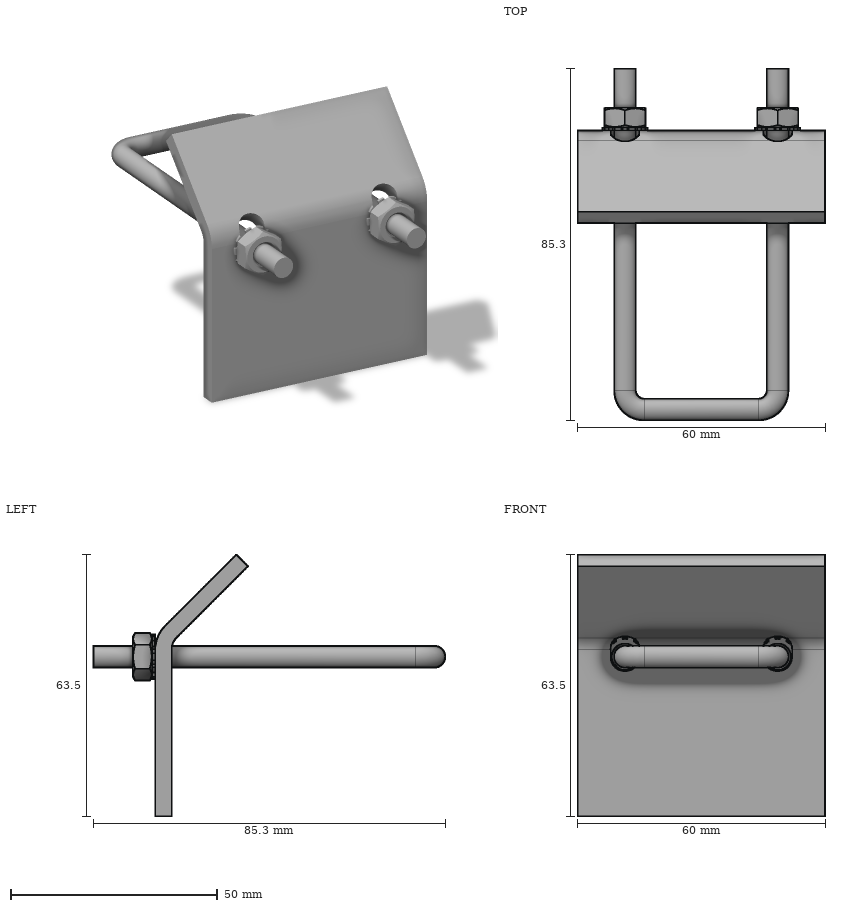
import cadquery as cq
import math

plate_width = 60.0
plate_thickness = 4.0
overall_height = 63.46
flange_length = 24.5
bend_angle = 45.0
bend_inner_radius = 4.0

rod_diameter = 5.3
leg_spacing = 37.0
leg_height = 38.7
leg_back_end = 15.0
crossbar_reach = 65.0
rod_bend_inner_radius = 2.0

slot_width = 7.0
slot_past_bend = 0.45

nut_across_flats = 10.0
nut_height = 4.8
nut_face_diameter = 9.4
nut_chamfer_angle = 30.0
nut_countersink_diameter = 6.4
washer_bore = 6.4
washer_diameter = 11.0
washer_root_diameter = 8.6
washer_thickness = 0.7
tooth_count = 10
tooth_width = 1.7

bend_outer_radius = bend_inner_radius + plate_thickness
bend_rad = math.radians(bend_angle)
flange_dy = -math.sin(bend_rad)
flange_dz = math.cos(bend_rad)
upright_height = overall_height - bend_outer_radius * math.sin(bend_rad) - flange_length * flange_dz
bend_center_y = -bend_outer_radius
slot_radius = slot_width / 2
leg_positions = (-leg_spacing / 2, leg_spacing / 2)


def bend_point(radius, angle):
    """(Y, Z) point on the bend, at an angle in radians above the upright."""
    return (bend_center_y + radius * math.cos(angle), upright_height + radius * math.sin(angle))


def flange_end(radius):
    """(Y, Z) corner at the free end of the flange."""
    y, z = bend_point(radius, bend_rad)
    return (y + flange_length * flange_dy, z + flange_length * flange_dz)


def make_plate():
    profile = (
        cq.Workplane("YZ", origin=(-plate_width / 2, 0, 0))
        .moveTo(0, 0)
        .lineTo(0, upright_height)
        .threePointArc(bend_point(bend_outer_radius, bend_rad / 2), bend_point(bend_outer_radius, bend_rad))
        .lineTo(*flange_end(bend_outer_radius))
        .lineTo(*flange_end(bend_inner_radius))
        .lineTo(*bend_point(bend_inner_radius, bend_rad))
        .threePointArc(bend_point(bend_inner_radius, bend_rad / 2), bend_point(bend_inner_radius, 0))
        .lineTo(-plate_thickness, 0)
        .close()
    )
    return profile.extrude(plate_width)


def upright_slot_cutter(x):
    """Round-bottomed part of a slot, cut straight through the upright."""
    return (
        cq.Workplane("XZ")
        .moveTo(x - slot_radius, upright_height)
        .lineTo(x - slot_radius, leg_height)
        .threePointArc((x, leg_height - slot_radius), (x + slot_radius, leg_height))
        .lineTo(x + slot_radius, upright_height)
        .close()
        .extrude(plate_thickness)
    )


def bend_slot_cutter(x):
    """Round-topped part of a slot, cut square to the flange and only above the start of the bend."""
    y, z = bend_point(bend_outer_radius, bend_rad)
    round_start = slot_past_bend - slot_radius
    lower_end = -bend_outer_radius * math.sin(bend_rad)
    plane = cq.Plane(origin=(x, y, z), xDir=(1, 0, 0), normal=(0, -flange_dz, flange_dy))
    prism = (
        cq.Workplane(plane)
        .moveTo(-slot_radius, lower_end)
        .lineTo(-slot_radius, round_start)
        .threePointArc((0, slot_past_bend), (slot_radius, round_start))
        .lineTo(slot_radius, lower_end)
        .close()
        .extrude(bend_outer_radius, both=True)
    )
    above_bend_start = (
        cq.Workplane("XY", origin=(x, bend_center_y, upright_height))
        .rect(2 * slot_width, 4 * bend_outer_radius)
        .extrude(2 * bend_outer_radius)
    )
    return prism.intersect(above_bend_start)


def make_u_bolt():
    bend_radius = rod_bend_inner_radius + rod_diameter / 2
    crossbar_y = -crossbar_reach - rod_diameter / 2
    left, right = leg_positions
    corner_offset = bend_radius * (1 - math.sqrt(0.5))
    path = (
        cq.Workplane("XY", origin=(0, 0, leg_height))
        .moveTo(left, leg_back_end)
        .lineTo(left, crossbar_y + bend_radius)
        .threePointArc(
            (left + corner_offset, crossbar_y + corner_offset),
            (left + bend_radius, crossbar_y),
        )
        .lineTo(right - bend_radius, crossbar_y)
        .threePointArc(
            (right - corner_offset, crossbar_y + corner_offset),
            (right, crossbar_y + bend_radius),
        )
        .lineTo(right, leg_back_end)
    )
    start = cq.Workplane("XZ", origin=(left, leg_back_end, leg_height))
    return start.circle(rod_diameter / 2).sweep(path)


def back_plane(x, y):
    """Workplane on a leg axis, facing +Y, with its local Y along Z."""
    return cq.Workplane(cq.Plane(origin=(x, y, leg_height), xDir=(-1, 0, 0), normal=(0, 1, 0)))


def make_nut(x):
    """Hexagon nut with two flats facing +X and -X, chamfered and countersunk on both faces."""
    corner_radius = nut_across_flats / math.sqrt(3)
    face_radius = nut_face_diameter / 2
    chamfer_height = (corner_radius - face_radius) * math.tan(math.radians(nut_chamfer_angle))
    base = back_plane(x, washer_thickness)
    hexagon = base.transformed(rotate=(0, 0, 90)).polygon(6, 2 * corner_radius).extrude(nut_height)
    bore_radius = rod_diameter / 2
    countersink_radius = nut_countersink_diameter / 2
    countersink_depth = countersink_radius - bore_radius
    envelope = (
        cq.Workplane("XY", origin=(x, washer_thickness, leg_height))
        .moveTo(bore_radius, countersink_depth)
        .lineTo(countersink_radius, 0)
        .lineTo(face_radius, 0)
        .lineTo(corner_radius, chamfer_height)
        .lineTo(corner_radius, nut_height - chamfer_height)
        .lineTo(face_radius, nut_height)
        .lineTo(countersink_radius, nut_height)
        .lineTo(bore_radius, nut_height - countersink_depth)
        .close()
        .revolve(360, (0, 0, 0), (0, 1, 0))
    )
    return hexagon.intersect(envelope)


def make_washer(x):
    """Flat lock washer with teeth around its rim."""
    base = back_plane(x, 0)
    washer = base.circle(washer_root_diameter / 2).extrude(washer_thickness)
    for i in range(tooth_count // 2):
        bar = base.transformed(rotate=(0, 0, i * 360 / tooth_count))
        washer = washer.union(bar.rect(washer_diameter, tooth_width).extrude(washer_thickness))
    rim = base.circle(washer_diameter / 2).circle(washer_bore / 2).extrude(washer_thickness)
    return washer.intersect(rim)


plate = make_plate()
for leg_x in leg_positions:
    plate = plate.cut(upright_slot_cutter(leg_x)).cut(bend_slot_cutter(leg_x))

result = plate.union(make_u_bolt())
for leg_x in leg_positions:
    result = result.union(make_nut(leg_x)).union(make_washer(leg_x))